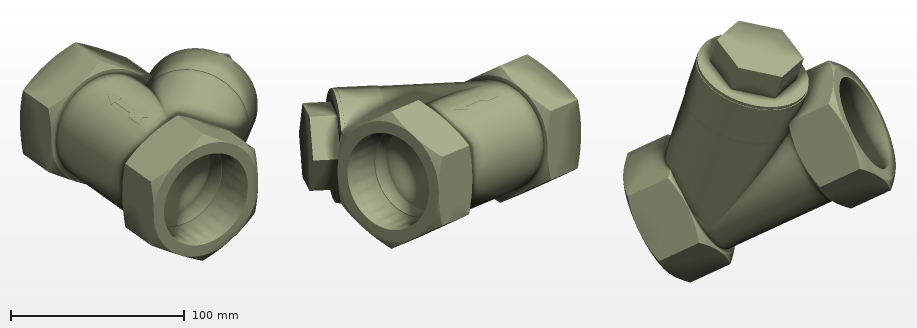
import cadquery as cq
import math

length = 140
body_diameter = 66.2
body_radius = body_diameter / 2
nut_length = 33.0
nut_corners = 83.2
nut_corner_radius = nut_corners / 2
nut_flat_radius = nut_corner_radius * math.cos(math.radians(30))
nut_chamfer_angle = 30
nut_chamfer_length = (nut_corner_radius - nut_flat_radius) * math.tan(math.radians(nut_chamfer_angle))

bore_mouth_radius = 29.0
bore_end_radius = 28
bore_depth = 25.3
inner_bore_radius = 27.6
inner_bore_depth = 37.2
tip_angle = 118
tip_depth = inner_bore_radius / math.tan(math.radians(tip_angle / 2))

branch_angle = 135
branch_start_x = 31.8
collar_start = 65.4
collar_end = 90.2
collar_diameter = 67.0
collar_radius = collar_diameter / 2
cap_disc_end = 92.3
cap_disc_radius = 33.2
cap_hex_end = 108.4
cap_hex_corners = 52.0

arrow_center_y = -9.5
arrow_height = 0.3
arrow_tip_x = -18.3
arrow_head_x = -9.0
arrow_shaft_end_x = 6.7
arrow_feather_x = 9.1
arrow_notch_x = 16.0
arrow_tail_x = 20.3
arrow_half_width = 3.6
shaft_half_width = 1.3


def make_nut():
    """Hexagon with corners at +Z and -Z and both ends chamfered, from the left end inwards."""
    hexagon = (
        cq.Workplane("YZ")
        .polygon(6, nut_corners)
        .extrude(nut_length)
        .rotate((0, 0, 0), (1, 0, 0), 90)
    )
    chamfer_envelope = (
        cq.Workplane("XY")
        .moveTo(0, 0)
        .lineTo(0, nut_flat_radius)
        .lineTo(nut_chamfer_length, nut_corner_radius)
        .lineTo(nut_length - nut_chamfer_length, nut_corner_radius)
        .lineTo(nut_length, nut_flat_radius)
        .lineTo(nut_length, 0)
        .close()
        .revolve(360, (0, 0, 0), (1, 0, 0))
    )
    return hexagon.intersect(chamfer_envelope).translate((-length / 2, 0, 0))


def make_bore():
    """Bore cutter for the left end."""
    return (
        cq.Workplane("XY")
        .moveTo(0, 0)
        .lineTo(0, bore_mouth_radius)
        .lineTo(bore_depth, bore_end_radius)
        .lineTo(bore_depth, inner_bore_radius)
        .lineTo(inner_bore_depth, inner_bore_radius)
        .lineTo(inner_bore_depth + tip_depth, 0)
        .close()
        .revolve(360, (0, 0, 0), (1, 0, 0))
        .translate((-length / 2, 0, 0))
    )


def make_branch():
    """Branch with collar, cap disc and cap hexagon, built along X and then turned into place."""
    branch = cq.Workplane("YZ").circle(body_radius).extrude(collar_start)
    collar = (
        cq.Workplane("YZ", origin=(collar_start, 0, 0))
        .circle(collar_radius)
        .extrude(collar_end - collar_start)
    )
    disc = (
        cq.Workplane("YZ", origin=(collar_end, 0, 0))
        .circle(cap_disc_radius)
        .extrude(cap_disc_end - collar_end)
    )
    cap_hex = (
        cq.Workplane("YZ", origin=(cap_disc_end, 0, 0))
        .polygon(6, cap_hex_corners)
        .extrude(cap_hex_end - cap_disc_end)
    )
    return (
        branch.union(collar).union(disc).union(cap_hex)
        .rotate((0, 0, 0), (0, 0, 1), branch_angle)
        .translate((branch_start_x, 0, 0))
    )


def make_arrow():
    """Arrow pointing to -X, wrapped on the pipe as a thin raised layer."""
    upper_edge = [
        (arrow_head_x, arrow_half_width),
        (arrow_head_x, shaft_half_width),
        (arrow_shaft_end_x, shaft_half_width),
        (arrow_feather_x, arrow_half_width),
        (arrow_tail_x, arrow_half_width),
    ]
    lower_edge = [(x, -y) for x, y in reversed(upper_edge)]
    outline = [(arrow_tip_x, 0), *upper_edge, (arrow_notch_x, 0), *lower_edge]
    arrow_prism = (
        cq.Workplane("XY", origin=(0, arrow_center_y, 0))
        .polyline(outline)
        .close()
        .extrude(nut_corner_radius)
    )
    raised_layer = (
        cq.Workplane("YZ")
        .circle(body_radius + arrow_height)
        .extrude(length / 2 - nut_length, both=True)
    )
    return arrow_prism.intersect(raised_layer)


pipe = cq.Workplane("YZ").circle(body_radius).extrude(length / 2 - nut_length, both=True)
left_nut = make_nut()
left_bore = make_bore()

result = pipe.union(make_branch())
result = result.union(left_nut).union(left_nut.mirror("YZ")).union(make_arrow())
result = result.cut(left_bore).cut(left_bore.mirror("YZ"))